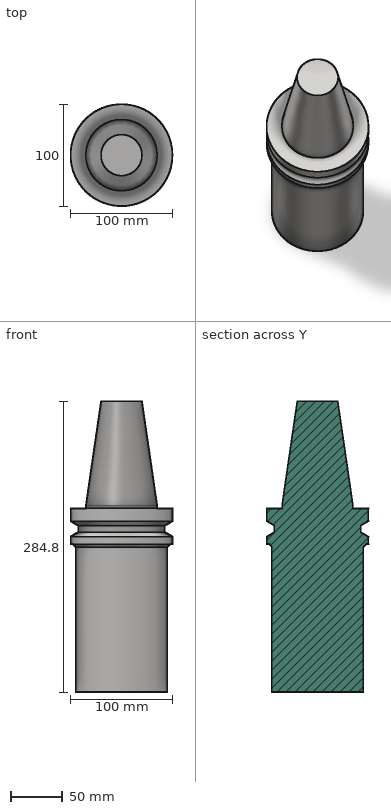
import cadquery as cq
import math

total_length = 284.8
taper_length = 101.8
body_bottom_z = taper_length - total_length

gauge_diameter = 69.85
taper_ratio = 7 / 24
taper_tip_diameter = gauge_diameter - taper_ratio * taper_length

flange_diameter = 100.0
flange_top_z = -3.0
flange_bottom_z = -38.0
groove_floor_diameter = 85.0
groove_floor_width = 6.3
groove_center_z = -23.2
groove_flank_angle = 30.0

body_diameter = 90.0
neck_height = 3.0
neck_top_diameter = body_diameter + 2 * neck_height


def make_profile():
    """Half outline of the turned part, as (radius, Z) in the XZ plane."""
    gauge_radius = gauge_diameter / 2
    flange_radius = flange_diameter / 2
    floor_radius = groove_floor_diameter / 2
    body_radius = body_diameter / 2

    flank_height = (flange_radius - floor_radius) * math.tan(math.radians(groove_flank_angle))
    floor_top_z = groove_center_z + groove_floor_width / 2
    floor_bottom_z = groove_center_z - groove_floor_width / 2

    return (
        cq.Workplane("XZ")
        .moveTo(0, taper_length)
        .lineTo(taper_tip_diameter / 2, taper_length)
        .lineTo(gauge_radius, 0)
        .lineTo(gauge_radius, flange_top_z)
        .lineTo(flange_radius, flange_top_z)
        .lineTo(flange_radius, floor_top_z + flank_height)
        .lineTo(floor_radius, floor_top_z)
        .lineTo(floor_radius, floor_bottom_z)
        .lineTo(flange_radius, floor_bottom_z - flank_height)
        .lineTo(flange_radius, flange_bottom_z)
        .lineTo(neck_top_diameter / 2, flange_bottom_z)
        .lineTo(body_radius, flange_bottom_z - neck_height)
        .lineTo(body_radius, body_bottom_z)
        .lineTo(0, body_bottom_z)
        .close()
    )


axis_start = (0, 0, 0)
axis_end = (0, 1, 0)
result = make_profile().revolve(axisStart=axis_start, axisEnd=axis_end)